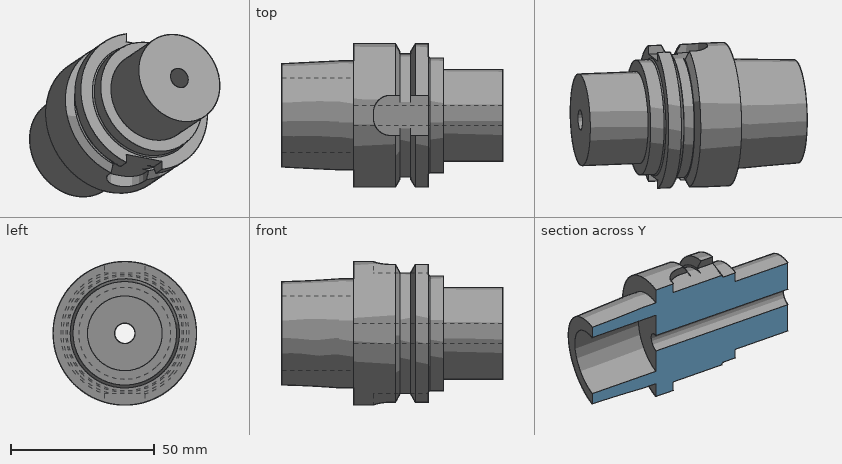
import cadquery as cq
import math

TOTAL_LENGTH = 76.9

SHANK_LENGTH = 25.0
TAPER_LENGTH = 20.0
TAPER_END_DIAMETER = 36.0
SHANK_DIAMETER = 38.0
BORE_DIAMETER = 26.0
BORE_DEPTH = SHANK_LENGTH
THROUGH_HOLE_DIAMETER = 7.0

FLANGE_DIAMETER = 50.0
FLANGE_LENGTH = 26.0
GROOVE_CENTER_FROM_FACE = 18.0
GROOVE_FLOOR_WIDTH = 3.75
GROOVE_FLOOR_DIAMETER = 43.0
GROOVE_OPENING_WIDTH = 6.9
GROOVE_WALL_ANGLE = 30.0

BOSS_DIAMETER = 40.0
BOSS_LENGTH = 5.3
BOSS_CHAMFER = 0.5
SPIGOT_DIAMETER = 32.0

KEYWAY_WIDTH = 14.0
KEYWAY_CORNER_RADIUS = 6.0
KEYWAY_FLOOR_HEIGHT = 21.0
KEYWAY_START_FROM_FACE = 6.9

TAPER_FACE = -TOTAL_LENGTH / 2
FLANGE_FACE = TAPER_FACE + SHANK_LENGTH
FLANGE_BACK = FLANGE_FACE + FLANGE_LENGTH


def turned_body():
    """Solid of revolution carrying the taper, flange, groove, boss and spigot."""
    flange_radius = FLANGE_DIAMETER / 2
    groove_radius = GROOVE_FLOOR_DIAMETER / 2
    wall_run = (GROOVE_OPENING_WIDTH - GROOVE_FLOOR_WIDTH) / 2
    wall_foot_radius = flange_radius - wall_run / math.tan(math.radians(GROOVE_WALL_ANGLE))
    groove_start = FLANGE_FACE + GROOVE_CENTER_FROM_FACE - GROOVE_FLOOR_WIDTH / 2
    groove_end = groove_start + GROOVE_FLOOR_WIDTH
    boss_end = FLANGE_BACK + BOSS_LENGTH
    spigot_end = TAPER_FACE + TOTAL_LENGTH
    profile = [
        (TAPER_FACE, 0),
        (TAPER_FACE, TAPER_END_DIAMETER / 2),
        (TAPER_FACE + TAPER_LENGTH, SHANK_DIAMETER / 2),
        (FLANGE_FACE, SHANK_DIAMETER / 2),
        (FLANGE_FACE, flange_radius),
        (groove_start - wall_run, flange_radius),
        (groove_start, wall_foot_radius),
        (groove_start, groove_radius),
        (groove_end, groove_radius),
        (groove_end, wall_foot_radius),
        (groove_end + wall_run, flange_radius),
        (FLANGE_BACK, flange_radius),
        (FLANGE_BACK, BOSS_DIAMETER / 2 + BOSS_CHAMFER),
        (FLANGE_BACK + BOSS_CHAMFER, BOSS_DIAMETER / 2),
        (boss_end, BOSS_DIAMETER / 2),
        (boss_end, SPIGOT_DIAMETER / 2),
        (spigot_end, SPIGOT_DIAMETER / 2),
        (spigot_end, 0),
    ]
    return cq.Workplane("XY").polyline(profile).close().revolve(360, (0, 0, 0), (1, 0, 0))


def axial_hole(diameter, depth):
    """Cylinder running along +X from the taper face."""
    return cq.Workplane("YZ", origin=(TAPER_FACE, 0, 0)).circle(diameter / 2).extrude(depth)


def keyway(side):
    """Flat-floored slot open at the flange back; side is +1 for top, -1 for bottom."""
    start = FLANGE_FACE + KEYWAY_START_FROM_FACE
    length = FLANGE_BACK - start
    depth = FLANGE_DIAMETER / 2 - KEYWAY_FLOOR_HEIGHT
    return (
        cq.Workplane("XY")
        .box(length, KEYWAY_WIDTH, depth)
        .edges("|Z and <X")
        .fillet(KEYWAY_CORNER_RADIUS)
        .translate((start + length / 2, 0, side * (KEYWAY_FLOOR_HEIGHT + depth / 2)))
    )


result = turned_body()
result = result.cut(axial_hole(BORE_DIAMETER, BORE_DEPTH))
result = result.cut(axial_hole(THROUGH_HOLE_DIAMETER, TOTAL_LENGTH))
for side in (1, -1):
    result = result.cut(keyway(side))